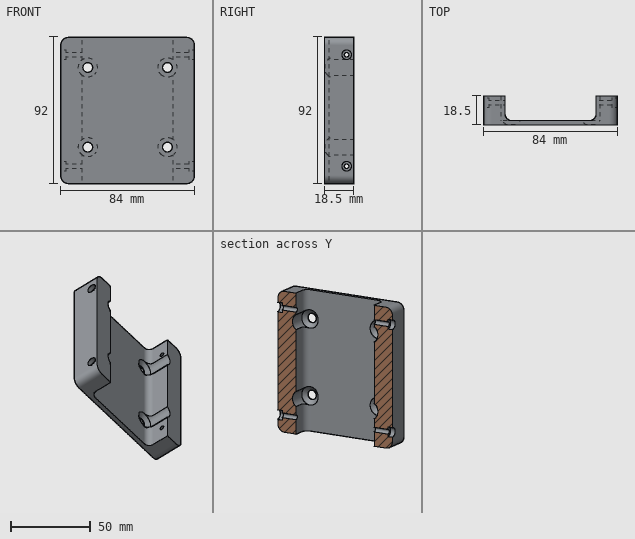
import cadquery as cq

width = 84.0
depth = 18.5
height = 92.0
corner_radius = 5.0

channel_width = 57.0
floor_thickness = 3.0
channel_fillet = 4.0
wall_thickness = (width - channel_width) / 2

mount_hole_diameter = 6.0
mount_hole_spacing = 50.0
mount_head_diameter = 12.0
mount_lip = 0.5
mount_pattern_rise = 2.0

screw_diameter = 2.77
screw_head_diameter = 6.0
counterbore_depth = 3.3
screw_spacing = 70.0
screw_back_distance = 4.5
screw_y = depth - screw_back_distance


def rounded_block():
    """Solid block with its front face on y = 0 and its four corner edges rounded."""
    block = cq.Workplane("XY").box(width, depth, height, centered=(True, False, True))
    return block.edges("|Y").fillet(corner_radius)


def channel():
    """Full-height channel cutter with rounded floor corners."""
    cutter = cq.Workplane("XY").box(
        channel_width, depth - floor_thickness, height, centered=(True, False, True)
    )
    cutter = cutter.edges("|Z and <Y").fillet(channel_fillet)
    return cutter.translate((0, floor_thickness, 0))


def mount_hole(x, z):
    """Countersunk hole in the floor, with clearance for the screw head up to the open side."""
    hole_radius = mount_hole_diameter / 2
    head_radius = mount_head_diameter / 2
    profile = (
        cq.Workplane("XY")
        .lineTo(hole_radius, 0)
        .lineTo(hole_radius, mount_lip)
        .lineTo(head_radius, floor_thickness)
        .lineTo(head_radius, depth)
        .lineTo(0, depth)
        .close()
    )
    return profile.revolve(360, (0, 0, 0), (0, 1, 0)).translate((x, 0, z))


def screw_hole(side, z):
    """Screw hole entering one side wall (side is -1 or +1) from its outer face."""
    start = cq.Vector(side * width / 2, screw_y, z)
    inward = cq.Vector(-side, 0, 0)
    shank = cq.Solid.makeCylinder(screw_diameter / 2, wall_thickness, start, inward)
    head = cq.Solid.makeCylinder(screw_head_diameter / 2, counterbore_depth, start, inward)
    return cq.Workplane(shank).union(cq.Workplane(head))


result = rounded_block().cut(channel())

for side in (-1, 1):
    for level in (-1, 1):
        mount_x = side * mount_hole_spacing / 2
        mount_z = mount_pattern_rise + level * mount_hole_spacing / 2
        result = result.cut(mount_hole(mount_x, mount_z))
        result = result.cut(screw_hole(side, level * screw_spacing / 2))